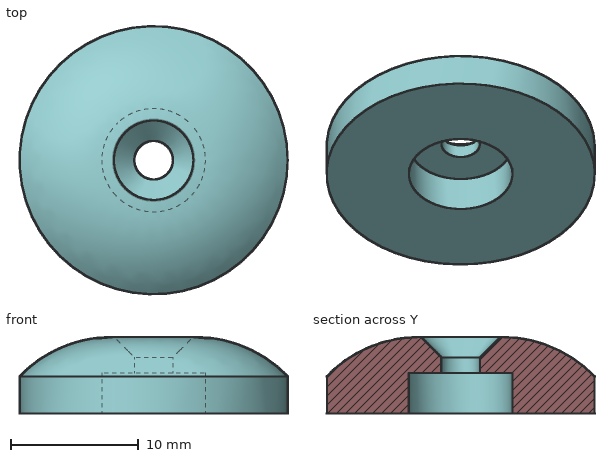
import cadquery as cq

outer_diameter = 21.0
height = 6.0
rim_height = 2.92

land_diameter = 6.45

hole_diameter = 3.0
countersink_diameter = 6.22
countersink_depth = (countersink_diameter - hole_diameter) / 2

pocket_diameter = 8.1
pocket_depth = 3.17


def revolve_about_z(profile):
    """Turn a closed half section, drawn in the XZ plane, into a solid."""
    return profile.revolve(360, (0, 0, 0), (0, 1, 0))


def make_body():
    """Disc with a straight rim and a domed top."""
    outer_radius = outer_diameter / 2
    land_radius = land_diameter / 2
    profile = (
        cq.Workplane("XZ")
        .moveTo(0, height)
        .lineTo(land_radius, height)
        .tangentArcPoint((outer_radius, rim_height), relative=False)
        .lineTo(outer_radius, 0)
        .lineTo(0, 0)
        .close()
    )
    return revolve_about_z(profile)


def make_hole():
    """Through hole with the countersink cone at its top."""
    hole_radius = hole_diameter / 2
    profile = (
        cq.Workplane("XZ")
        .lineTo(hole_radius, 0)
        .lineTo(hole_radius, height - countersink_depth)
        .lineTo(countersink_diameter / 2, height)
        .lineTo(0, height)
        .close()
    )
    return revolve_about_z(profile)


def make_pocket():
    """Flat-bottomed round pocket, open at the underside."""
    return cq.Workplane("XY").circle(pocket_diameter / 2).extrude(pocket_depth)


result = make_body().cut(make_hole()).cut(make_pocket())